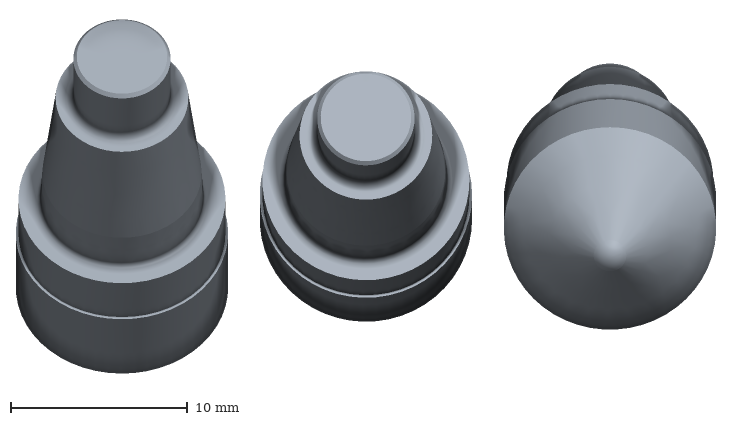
import cadquery as cq
import math

TIP_RADIUS = 12.0 / 2
NOSE_RADIUS = 1.3
TIP_TOP_Z = 10.73
NOSE_EDGE_RADIUS = NOSE_RADIUS * math.sin(math.radians(45))
NOSE_EDGE_Z = NOSE_RADIUS - NOSE_EDGE_RADIUS
CONE_TOP_Z = NOSE_EDGE_Z + TIP_RADIUS - NOSE_EDGE_RADIUS

COLLAR_RADIUS = 11.7 / 2
COLLAR_TOP_Z = 14.0
COLLAR_FILLET = 0.28
TAPER_BASE_RADIUS = 4.61
TAPER_BREAK_RADIUS = 4.5
TAPER_BREAK_Z = 16.55
SHOULDER_RADIUS = 3.75
SHOULDER_Z = 23.82
PIN_RADIUS = 5.5 / 2
PIN_FILLET = 0.5
PIN_CHAMFER = 0.2
TOP_Z = 27.8


def concave_fillet(profile, upper_radius, floor_z, fillet):
    """Add a quarter-round from a flat floor up to a wall of the given radius."""
    inset = fillet * (1 - math.sin(math.radians(45)))
    return profile.lineTo(upper_radius + fillet, floor_z).threePointArc(
        (upper_radius + inset, floor_z + inset),
        (upper_radius, floor_z + fillet),
    )


def revolve_about_z(profile):
    """Close a radius-height outline and revolve it about the Z axis."""
    return profile.close().revolve(360, (0, 0, 0), (0, 1, 0))


def make_tip():
    nose_middle = math.radians(22.5)
    profile = (
        cq.Workplane("XZ")
        .moveTo(0, 0)
        .threePointArc(
            (NOSE_RADIUS * math.sin(nose_middle), NOSE_RADIUS * (1 - math.cos(nose_middle))),
            (NOSE_EDGE_RADIUS, NOSE_EDGE_Z),
        )
        .lineTo(TIP_RADIUS, CONE_TOP_Z)
        .lineTo(TIP_RADIUS, TIP_TOP_Z)
        .lineTo(0, TIP_TOP_Z)
    )
    return revolve_about_z(profile)


def make_shank():
    profile = (
        cq.Workplane("XZ")
        .moveTo(0, TIP_TOP_Z)
        .lineTo(COLLAR_RADIUS, TIP_TOP_Z)
        .lineTo(COLLAR_RADIUS, COLLAR_TOP_Z)
    )
    profile = concave_fillet(profile, TAPER_BASE_RADIUS, COLLAR_TOP_Z, COLLAR_FILLET)
    profile = profile.lineTo(TAPER_BREAK_RADIUS, TAPER_BREAK_Z).lineTo(SHOULDER_RADIUS, SHOULDER_Z)
    profile = concave_fillet(profile, PIN_RADIUS, SHOULDER_Z, PIN_FILLET)
    profile = (
        profile.lineTo(PIN_RADIUS, TOP_Z - PIN_CHAMFER)
        .lineTo(PIN_RADIUS - PIN_CHAMFER, TOP_Z)
        .lineTo(0, TOP_Z)
    )
    return revolve_about_z(profile)


tip = make_tip()
shank = make_shank()

result = cq.Compound.makeCompound([tip.val(), shank.val()])